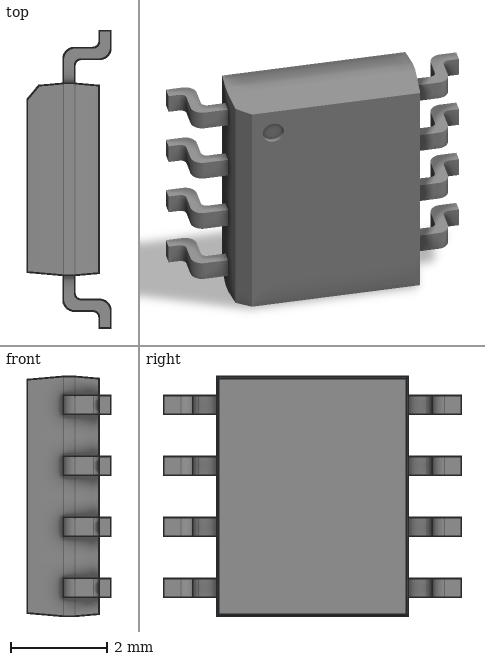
import cadquery as cq
import math

body_depth = 1.5
body_width = 4.0
body_height = 5.0
draft_angle = 5.0
chamfer_across_side = 0.25
chamfer_across_face = 0.27

lead_span = 6.2
lead_thickness = 0.25
lead_width = 0.395
lead_pitch = 1.27
leads_per_side = 4
band_start = 0.75
foot_length = 0.355
shoulder_outer_radius = 0.25
shoulder_inner_radius = 0.125
ankle_inner_radius = 0.125
ankle_outer_radius = 0.25

dimple_diameter = 0.445
dimple_depth = 0.1
dimple_y = 1.2

band_end = band_start + lead_thickness
foot_end = body_depth + lead_thickness
first_lead_z = lead_pitch * (leads_per_side - 1) / 2


def tapered_half(start_x, end_x):
    """Half of the body, narrowing by the draft angle from start_x to end_x."""
    narrowing = abs(end_x - start_x) * math.tan(math.radians(draft_angle))
    return (
        cq.Workplane("YZ", origin=(start_x, 0, 0))
        .rect(body_width, body_height)
        .workplane(offset=end_x - start_x)
        .rect(body_width - 2 * narrowing, body_height - 2 * narrowing)
        .loft(ruled=True)
    )


def make_body():
    """Straight band between two tapered halves, chamfered along the pin-one edge."""
    front_half = tapered_half(band_start, 0)
    front_half = front_half.faces("<X").edges(">Y").chamfer(chamfer_across_side, chamfer_across_face)
    back_half = tapered_half(band_end, body_depth)
    band = cq.Workplane("YZ", origin=(band_start, 0, 0))
    band = band.rect(body_width, body_height).extrude(lead_thickness)
    return band.union(front_half).union(back_half)


def lead_pair(z):
    """One strip through the body, bent into a gull-wing lead at each end."""
    tip_y = lead_span / 2
    shoulder_y = tip_y - foot_length
    inner_y = shoulder_y - lead_thickness
    outline = [
        (band_start, 0),
        (band_start, shoulder_y),
        (body_depth, shoulder_y),
        (body_depth, tip_y),
        (foot_end, tip_y),
        (foot_end, inner_y),
        (band_end, inner_y),
        (band_end, 0),
    ]
    bends = [
        (band_start, shoulder_y, shoulder_outer_radius),
        (band_end, inner_y, shoulder_inner_radius),
        (body_depth, shoulder_y, ankle_inner_radius),
        (foot_end, inner_y, ankle_outer_radius),
    ]
    lead = cq.Workplane("XY", origin=(0, 0, z - lead_width / 2))
    lead = lead.polyline(outline).close().extrude(lead_width)
    for x, y, radius in bends:
        lead = lead.edges(cq.selectors.NearestToPointSelector((x, y, z))).fillet(radius)
    return lead.union(lead.mirror("XZ"))


def make_dimple():
    """Cutter for the round pin-one mark, level with the top lead."""
    return (
        cq.Workplane("YZ", origin=(0, dimple_y, first_lead_z))
        .circle(dimple_diameter / 2)
        .extrude(dimple_depth)
    )


result = make_body()
for index in range(leads_per_side):
    result = result.union(lead_pair(first_lead_z - index * lead_pitch))
result = result.cut(make_dimple())